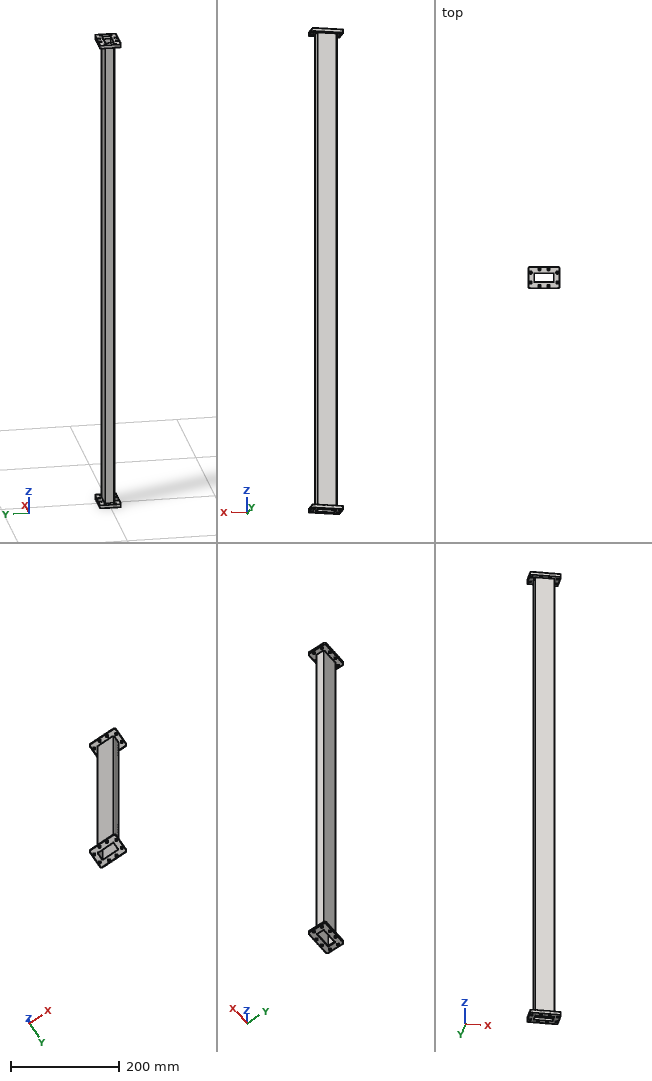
import cadquery as cq

length = 914.0
tube_x = 38.0
tube_y = 19.0
wall = 1.65
bore_x = tube_x - 2 * wall
bore_y = tube_y - 2 * wall
tube_corner_radius = 3.0

flange_x = 58.0
flange_y = 39.0
flange_thickness = 6.0
flange_corner_radius = 3.2

hole_diameter = 4.2
long_side_hole_x = 8.0
long_side_hole_y = 16.0
short_side_hole_x = 25.0
short_side_hole_y = 9.0


def mirrored_points(x, y):
    """Four points mirrored about both axes of the section."""
    return [(sx * x, sy * y) for sx in (-1, 1) for sy in (-1, 1)]


def make_flange(bottom_z):
    """Rounded rectangular plate with its bolt holes, rising from bottom_z."""
    plane = cq.Workplane("XY", origin=(0, 0, bottom_z))
    plate = plane.rect(flange_x, flange_y).extrude(flange_thickness)
    plate = plate.edges("|Z").fillet(flange_corner_radius)
    hole_points = mirrored_points(long_side_hole_x, long_side_hole_y)
    hole_points += mirrored_points(short_side_hole_x, short_side_hole_y)
    holes = plane.pushPoints(hole_points).circle(hole_diameter / 2).extrude(flange_thickness)
    return plate.cut(holes)


tube = cq.Workplane("XY").rect(tube_x, tube_y).extrude(length)
tube = tube.edges("|Z").fillet(tube_corner_radius)
body = tube.union(make_flange(0)).union(make_flange(length - flange_thickness))

bore = cq.Workplane("XY").rect(bore_x, bore_y).extrude(length)
result = body.cut(bore)